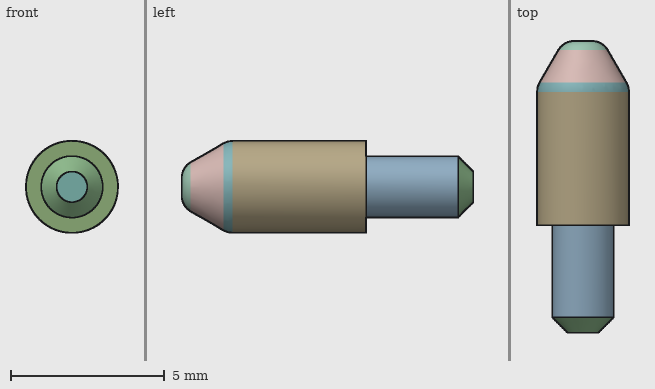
import cadquery as cq
import math

total_length = 9.5
head_diameter = 3.0
stem_diameter = 2.0
stem_length = 3.5
stem_chamfer = 0.5
nose_length = 1.5
nose_half_angle = 30.0
nose_rounding = 0.6

head_radius = head_diameter / 2
stem_radius = stem_diameter / 2
tip_radius = head_radius - nose_length * math.tan(math.radians(nose_half_angle))
nose_start = total_length - nose_length


def make_head():
    """Cylindrical head with a conical nose, rounded at both ends of the cone."""
    sharp_head = (
        cq.Workplane("XY")
        .moveTo(0, stem_length)
        .lineTo(head_radius, stem_length)
        .lineTo(head_radius, nose_start)
        .lineTo(tip_radius, total_length)
        .lineTo(0, total_length)
        .close()
        .revolve(360, (0, 0, 0), (0, 1, 0))
    )
    return sharp_head.edges("%CIRCLE").edges("not <Y").fillet(nose_rounding)


def make_stem():
    """Stem that meets the flat shoulder of the head, chamfered at its free end."""
    return (
        cq.Workplane("XZ")
        .circle(stem_radius)
        .extrude(-stem_length)
        .faces("<Y")
        .chamfer(stem_chamfer)
    )


head = make_head()
stem = make_stem()

result = cq.Compound.makeCompound([head.val(), stem.val()])